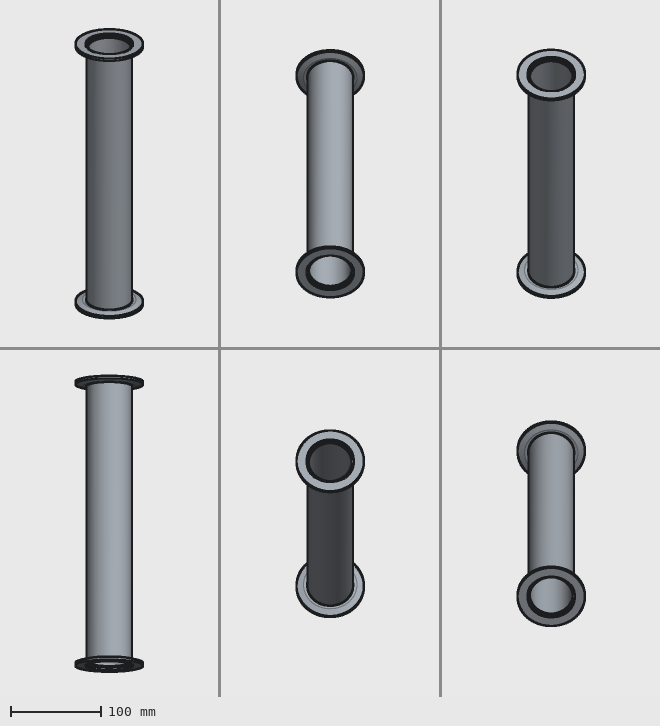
import cadquery as cq

total_length = 320.0

flange_diameter = 75.0
hub_face_diameter = 59.2
rim_height = 3.0
flange_height = 5.0
recess_diameter = 52.5
recess_depth = 2.5
lip_diameter = 47.7
lip_height = 1.5
socket_diameter = 51.2

tube_outer_diameter = 51.0
tube_bore_diameter = 47.5

socket_start = recess_depth + lip_height
tube_length = total_length - 2 * socket_start


def make_flange():
    """Bottom flange: sealing face on Z = 0, tapered back facing up."""
    outer_radius = flange_diameter / 2
    hub_radius = hub_face_diameter / 2
    recess_radius = recess_diameter / 2
    lip_radius = lip_diameter / 2
    socket_radius = socket_diameter / 2
    half_section = [
        (recess_radius, 0),
        (outer_radius, 0),
        (outer_radius, rim_height),
        (hub_radius, flange_height),
        (socket_radius, flange_height),
        (socket_radius, socket_start),
        (lip_radius, socket_start),
        (lip_radius, recess_depth),
        (recess_radius, recess_depth),
    ]
    return cq.Workplane("XZ").polyline(half_section).close().revolve(360, (0, 0), (0, 1))


def make_tube():
    """Straight tube whose ends rest against the lips of both flanges."""
    return (
        cq.Workplane("XY")
        .workplane(offset=socket_start)
        .circle(tube_outer_diameter / 2)
        .circle(tube_bore_diameter / 2)
        .extrude(tube_length)
    )


tube = make_tube()

flanges = []
for turn_angle in (0, 180):
    flange = make_flange().rotate((0, 0, total_length / 2), (1, 0, total_length / 2), turn_angle)
    flanges.append(flange.val())

result = cq.Compound.makeCompound([tube.val(), *flanges])